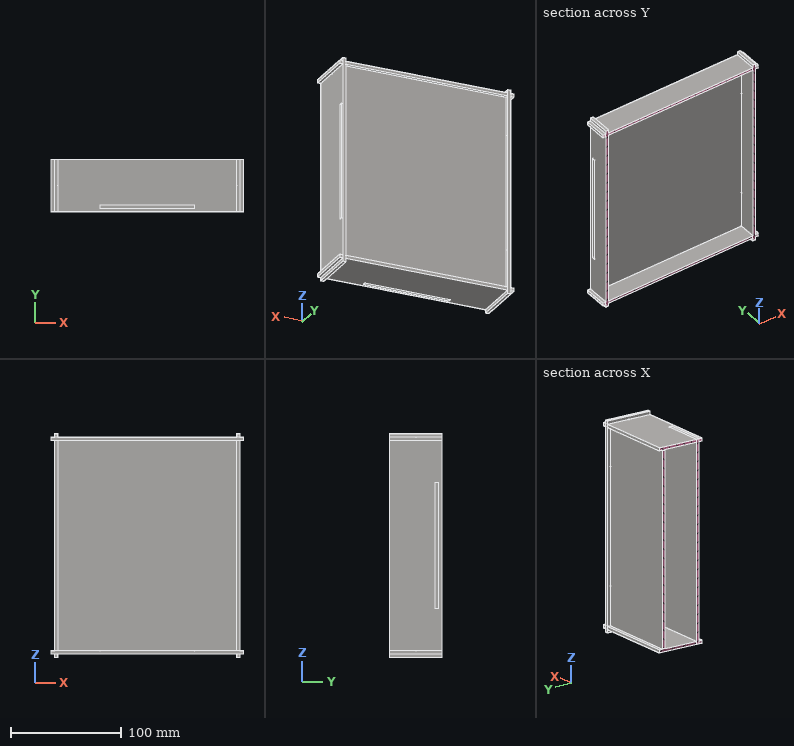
import cadquery as cq

width = 174.625
depth = 47.625
height = 203.2

sheet = 3.175
overhang = 3.175
front_recess = 3.175
back_recess = 3.175
front_tab_length = 85.725
back_tab_length = 114.3

wall_x = width / 2 - overhang - sheet / 2
wall_z = height / 2 - overhang - sheet / 2
clear_width = 2 * wall_x - sheet
clear_height = 2 * wall_z - sheet
front_y = -depth / 2 + front_recess + sheet / 2
back_y = depth / 2 - back_recess - sheet / 2


def block(size_x, size_y, size_z, center):
    return cq.Workplane("XY").box(size_x, size_y, size_z).translate(center)


def front_panel():
    """Panel filling the opening, with tabs that end flush with the top and bottom walls."""
    panel = block(clear_width, sheet, clear_height, (0, front_y, 0))
    tabs = block(front_tab_length, sheet, clear_height + 2 * sheet, (0, front_y, 0))
    return panel.union(tabs)


def back_panel():
    """Panel filling the opening, with tabs that end flush with the side walls."""
    panel = block(clear_width, sheet, clear_height, (0, back_y, 0))
    tabs = block(clear_width + 2 * sheet, sheet, back_tab_length, (0, back_y, 0))
    return panel.union(tabs)


def horizontal_wall(z):
    """Top or bottom wall: half-lap notches in its rear half, and a slot for the front tab."""
    wall = block(width, depth, sheet, (0, 0, z))
    for x in (-wall_x, wall_x):
        wall = wall.cut(block(sheet, depth / 2, sheet, (x, depth / 4, z)))
    return wall.cut(block(front_tab_length, sheet, sheet, (0, front_y, z)))


def side_wall(x):
    """Left or right wall: half-lap notches in its front half, and a slot for the back tab."""
    wall = block(sheet, depth, height, (x, 0, 0))
    for z in (-wall_z, wall_z):
        wall = wall.cut(block(sheet, depth / 2, sheet, (x, -depth / 4, z)))
    return wall.cut(block(sheet, sheet, back_tab_length, (x, back_y, 0)))


front = front_panel()
back = back_panel()
horizontal_walls = [horizontal_wall(z) for z in (-wall_z, wall_z)]
side_walls = [side_wall(x) for x in (-wall_x, wall_x)]

bodies = [front, back, *horizontal_walls, *side_walls]
result = cq.Compound.makeCompound([body.val() for body in bodies])